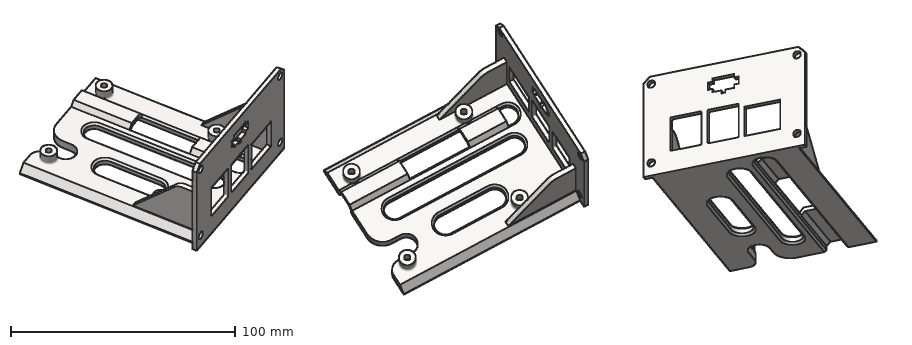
import cadquery as cq
import math

TOTAL_LENGTH = 93.4
PANEL_WIDTH = 77.6
PANEL_HEIGHT = 50.8
PANEL_THICKNESS = 2.2
PANEL_CHAMFER = 3.0
SCREW_HOLE_DIAMETER = 3.6
SCREW_HOLE_Y = 35.1
SCREW_HOLE_HEIGHTS = (6.5, 46.9)

WINDOW_LONG = 17.2
WINDOW_SHORT = 15.0
WINDOW_SILL = 10.65
WINDOW_CORNER_RADIUS = 0.75
WIDE_WINDOW_Y = 18.4
UPRIGHT_WINDOWS_Y = (-0.5, -18.4)

CONNECTOR_Y = -0.4
CONNECTOR_Z = 40.0
CONNECTOR_BODY = (10.5, 7.1)
CONNECTOR_EARS = (14.8, 3.6)
CONNECTOR_KEY_WIDTH = 1.8
CONNECTOR_KEY_DROP = 1.5

PLATE_LENGTH = TOTAL_LENGTH - PANEL_THICKNESS
PLATE_THICKNESS = 4.3
PLATE_BOTTOM_WIDTH = 70.6
PLATE_TOP_WIDTH = 63.9
PLATE_EDGE_LIP = 0.7

SLOT_CHAMFER = 1.0
SIDE_SLOT_Y = 16.1
LONG_SLOT_WIDTH = 9.6
SHORT_SLOT_WIDTH = 10.3
COVERED_SLOT_END = 88.7
CENTRE_SLOT_Y = 1.7
CENTRE_SLOT_SPAN = (12.1, 83.7)
SHORT_SLOT_SPAN = (27.7, 63.4)

NOTCH_DEPTH = 17.65
NOTCH_WIDTH = SHORT_SLOT_WIDTH
NOTCH_INNER_CORNER_RADIUS = 8.0
NOTCH_OUTER_CORNER_RADIUS = 5.0

COVER_SPANS = ((0.0, 30.1), (61.2, 81.2))
COVER_TOP_Z = 6.7
COVER_TOP_WIDTH = 7.3
COVER_CEILING_Z = 4.7
COVER_CEILING_WIDTH = 5.8
COVER_HAUNCH_Z = 2.9

POST_DIAMETER = 7.6
POST_TOP_Z = 9.2
POST_HOLE_DIAMETER = 2.8
POST_FILLET = 1.0
POST_X = (8.4, 66.5)
POST_Y = (-24.0, 25.0)

GUSSET_THICKNESS = 2.5
GUSSET_OUTER_Y = 31.6
GUSSET_START = 56.2
GUSSET_TOP_Z = 27.5
GUSSET_CORNER_RADIUS = 6.0


def box_between(x_span, y_span, z_span):
    """Axis-aligned block given by its limits on each axis."""
    lengths = [high - low for low, high in (x_span, y_span, z_span)]
    corner = (x_span[0], y_span[0], z_span[0])
    return cq.Workplane("XY").box(*lengths, centered=False).translate(corner)


def panel_cutter(width, height, y, z):
    """Rectangular block through the panel, centred at (y, z)."""
    return box_between(
        (PLATE_LENGTH, TOTAL_LENGTH),
        (y - width / 2, y + width / 2),
        (z - height / 2, z + height / 2),
    )


def make_panel():
    panel = panel_cutter(PANEL_WIDTH, PANEL_HEIGHT, 0, PANEL_HEIGHT / 2)
    panel = panel.edges("|X and >Z").chamfer(PANEL_CHAMFER)

    screw_points = [(side * SCREW_HOLE_Y, z) for side in (-1, 1) for z in SCREW_HOLE_HEIGHTS]
    screw_holes = (
        cq.Workplane("YZ", origin=(PLATE_LENGTH, 0, 0))
        .pushPoints(screw_points)
        .circle(SCREW_HOLE_DIAMETER / 2)
        .extrude(PANEL_THICKNESS)
    )
    panel = panel.cut(screw_holes)

    panel = panel.cut(
        panel_cutter(WINDOW_LONG, WINDOW_SHORT, WIDE_WINDOW_Y, WINDOW_SILL + WINDOW_SHORT / 2)
    )
    for y in UPRIGHT_WINDOWS_Y:
        window = panel_cutter(WINDOW_SHORT, WINDOW_LONG, y, WINDOW_SILL + WINDOW_LONG / 2)
        panel = panel.cut(window.edges("|X").fillet(WINDOW_CORNER_RADIUS))

    key_height = CONNECTOR_BODY[1] / 2 + CONNECTOR_KEY_DROP
    panel = panel.cut(panel_cutter(*CONNECTOR_BODY, CONNECTOR_Y, CONNECTOR_Z))
    panel = panel.cut(panel_cutter(*CONNECTOR_EARS, CONNECTOR_Y, CONNECTOR_Z))
    return panel.cut(
        panel_cutter(CONNECTOR_KEY_WIDTH, key_height, CONNECTOR_Y, CONNECTOR_Z - key_height / 2)
    )


def make_plate():
    half_bottom = PLATE_BOTTOM_WIDTH / 2
    half_top = PLATE_TOP_WIDTH / 2
    profile = [
        (-half_bottom, 0),
        (half_bottom, 0),
        (half_bottom, PLATE_EDGE_LIP),
        (half_top, PLATE_THICKNESS),
        (-half_top, PLATE_THICKNESS),
        (-half_bottom, PLATE_EDGE_LIP),
    ]
    return cq.Workplane("YZ").polyline(profile).close().extrude(PLATE_LENGTH)


def slot_cutter(x_start, x_end, y, width):
    """Round-ended slot through the plate, flared at both faces and open above."""
    centre = ((x_start + x_end) / 2, y)
    length = x_end - x_start
    mouth = (length + 2 * SLOT_CHAMFER, width + 2 * SLOT_CHAMFER)

    def outline(z, size):
        return cq.Workplane("XY", origin=(0, 0, z)).center(*centre).slot2D(*size)

    bore = outline(0, (length, width)).extrude(PLATE_THICKNESS)
    lower_flare = outline(0, mouth).extrude(SLOT_CHAMFER, taper=45)
    upper_flare = outline(PLATE_THICKNESS, mouth).extrude(-SLOT_CHAMFER, taper=45)
    clearance = outline(PLATE_THICKNESS, mouth).extrude(POST_FILLET)
    return bore.union(lower_flare).union(upper_flare).union(clearance)


def notch_cutter():
    """Round-ended notch that widens through convex corner arcs at the plate edge."""
    half_width = NOTCH_WIDTH / 2
    y_high = -SIDE_SLOT_Y + half_width
    y_low = -SIDE_SLOT_Y - half_width
    arc_offset = 1 - math.sqrt(0.5)
    inner, outer = NOTCH_INNER_CORNER_RADIUS, NOTCH_OUTER_CORNER_RADIUS
    return (
        cq.Workplane("XY")
        .moveTo(0, y_high + inner)
        .threePointArc((inner * arc_offset, y_high + inner * arc_offset), (inner, y_high))
        .lineTo(NOTCH_DEPTH - half_width, y_high)
        .threePointArc((NOTCH_DEPTH, -SIDE_SLOT_Y), (NOTCH_DEPTH - half_width, y_low))
        .lineTo(outer, y_low)
        .threePointArc((outer * arc_offset, y_low - outer * arc_offset), (0, y_low - outer))
        .close()
        .extrude(PLATE_THICKNESS + POST_FILLET)
    )


def make_cover(x_start, x_end):
    """Thin trapezoidal bridge over the covered slot, filling its upper flare."""
    half_base = LONG_SLOT_WIDTH / 2 + SLOT_CHAMFER
    half_slot = LONG_SLOT_WIDTH / 2
    half_top = COVER_TOP_WIDTH / 2
    half_ceiling = COVER_CEILING_WIDTH / 2
    right_side = [
        (half_top, COVER_TOP_Z),
        (half_base, PLATE_THICKNESS),
        (half_base, COVER_HAUNCH_Z),
        (half_slot, COVER_HAUNCH_Z),
        (half_ceiling, COVER_CEILING_Z),
    ]
    left_side = [(-y, z) for y, z in reversed(right_side)]
    return (
        cq.Workplane("YZ", origin=(x_start, SIDE_SLOT_Y, 0))
        .polyline(right_side + left_side)
        .close()
        .extrude(x_end - x_start)
    )


def at_posts(solid):
    """Copies of a solid at every post position."""
    copies = cq.Workplane("XY")
    for x in POST_X:
        for y in POST_Y:
            copies = copies.union(solid.translate((x, y, PLATE_THICKNESS)))
    return copies


def make_post_foot():
    """Concave fillet ring around the foot of a post, including its core."""
    post_radius = POST_DIAMETER / 2
    foot_radius = post_radius + POST_FILLET
    middle = POST_FILLET * (1 - math.sqrt(0.5))
    return (
        cq.Workplane("XZ")
        .lineTo(foot_radius, 0)
        .threePointArc((post_radius + middle, middle), (post_radius, POST_FILLET))
        .lineTo(0, POST_FILLET)
        .close()
        .revolve(360, (0, 0, 0), (0, 1, 0))
    )


def make_gusset(outer_y):
    """45 degree web with a rounded upper corner, growing inwards in +Y from outer_y."""
    rise = GUSSET_TOP_Z - PLATE_THICKNESS
    profile = [
        (GUSSET_START, PLATE_THICKNESS),
        (GUSSET_START + rise, GUSSET_TOP_Z),
        (PLATE_LENGTH, GUSSET_TOP_Z),
        (PLATE_LENGTH, PLATE_THICKNESS),
    ]
    web = (
        cq.Workplane("XZ", origin=(0, outer_y, 0))
        .polyline(profile)
        .close()
        .extrude(-GUSSET_THICKNESS)
    )
    corner = cq.selectors.NearestToPointSelector(
        (GUSSET_START + rise, outer_y + GUSSET_THICKNESS / 2, GUSSET_TOP_Z)
    )
    return web.edges("|Y").edges(corner).fillet(GUSSET_CORNER_RADIUS)


base = make_plate().union(at_posts(make_post_foot()))
base = base.cut(slot_cutter(-LONG_SLOT_WIDTH, COVERED_SLOT_END, SIDE_SLOT_Y, LONG_SLOT_WIDTH))
base = base.cut(slot_cutter(*CENTRE_SLOT_SPAN, CENTRE_SLOT_Y, LONG_SLOT_WIDTH))
base = base.cut(slot_cutter(*SHORT_SLOT_SPAN, -SIDE_SLOT_Y, SHORT_SLOT_WIDTH))
base = base.cut(notch_cutter())

for cover_span in COVER_SPANS:
    base = base.union(make_cover(*cover_span))

for gusset_y in (-GUSSET_OUTER_Y, GUSSET_OUTER_Y - GUSSET_THICKNESS):
    base = base.union(make_gusset(gusset_y))
base = base.union(make_panel())

post_height = POST_TOP_Z - PLATE_THICKNESS
post = cq.Workplane("XY").circle(POST_DIAMETER / 2).extrude(post_height)
post_hole = cq.Workplane("XY").circle(POST_HOLE_DIAMETER / 2).extrude(post_height)
result = base.union(at_posts(post)).cut(at_posts(post_hole))